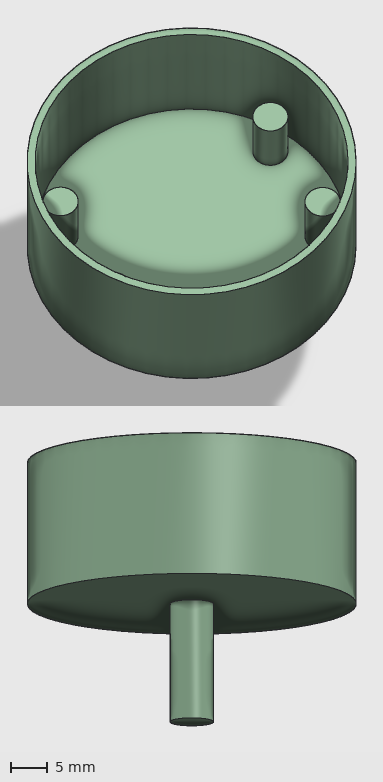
import cadquery as cq

cup_diameter = 45.0
bore_diameter = 42.8
total_height = 36.0
cup_height = 19.58
floor_thickness = 2.15

stem_diameter = 5.95
stem_length = total_height - cup_height

pin_diameter = 4.8
pin_height = 8.0
pin_spacing_x = 16.0
pin_spacing_y = 2 * pin_spacing_x


def make_cup():
    """Open-topped round cup with its underside at Z = 0."""
    body = cq.Workplane("XY").circle(cup_diameter / 2).extrude(cup_height)
    cavity = (
        cq.Workplane("XY", origin=(0, 0, floor_thickness))
        .circle(bore_diameter / 2)
        .extrude(cup_height - floor_thickness)
    )
    return body.cut(cavity)


def make_stem():
    """Central stem, overlapping the floor so that the two fuse."""
    return (
        cq.Workplane("XY", origin=(0, 0, -stem_length))
        .circle(stem_diameter / 2)
        .extrude(stem_length + floor_thickness)
    )


def make_pins():
    """Pins at the corners of a rectangle, rooted in the floor."""
    return (
        cq.Workplane("XY")
        .rect(pin_spacing_x, pin_spacing_y, forConstruction=True)
        .vertices()
        .circle(pin_diameter / 2)
        .extrude(floor_thickness + pin_height)
    )


result = make_cup().union(make_stem()).union(make_pins())